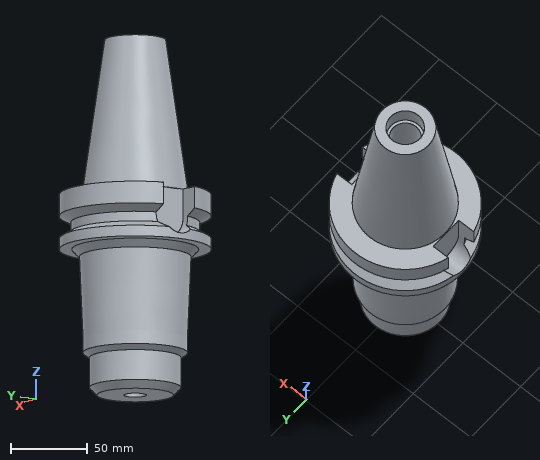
import cadquery as cq

total_height = 237.0
nose_chamfer = 5.0
nose_top = 25.0
collar_bottom = 28.2
collar_top = 37.0
neck_top = 92.2
flange_bottom = 97.2
groove_lower_edge = 104.3
groove_floor_bottom = 108.5
groove_floor_top = 115.0
groove_upper_edge = 119.2
flange_top = 133.7
gauge_line = 135.0

nose_radius = 30.0
collar_radius = 34.4
neck_top_radius = 36.7
flange_cone_radius = neck_top_radius + (flange_bottom - neck_top)
flange_radius = 50.0
groove_radius = 42.5
taper_large_radius = 34.8
taper_small_radius = 20.1

through_radius = 7.3
thread_radius = 10.5
pilot_radius = 12.5
pilot_depth = 12.8
thread_depth = 47.5

slot_width = 25.5
slot_floor_x = 35.3
slot_bottom = 101.0


def turned_body():
    """Revolve the half outline, drawn as (radius, height), about Z."""
    outline = [
        (0, 0),
        (nose_radius - nose_chamfer, 0),
        (nose_radius, nose_chamfer),
        (nose_radius, nose_top),
        (collar_radius, collar_bottom),
        (collar_radius, collar_top),
        (neck_top_radius, neck_top),
        (flange_cone_radius, flange_bottom),
        (flange_radius, flange_bottom),
        (flange_radius, groove_lower_edge),
        (groove_radius, groove_floor_bottom),
        (groove_radius, groove_floor_top),
        (flange_radius, groove_upper_edge),
        (flange_radius, flange_top),
        (taper_large_radius, flange_top),
        (taper_large_radius, gauge_line),
        (taper_small_radius, total_height),
        (0, total_height),
    ]
    return cq.Workplane("XZ").polyline(outline).close().revolve(360, (0, 0, 0), (0, 1, 0))


def bore_from_top(radius, depth):
    """Cylinder reaching down the axis from the small end of the taper."""
    return cq.Workplane("XY").workplane(offset=total_height - depth).circle(radius).extrude(depth)


def drive_slot(side):
    """Round-bottomed slot cutter; side is +1 for +X and -1 for -X."""
    half_width = slot_width / 2
    arc_center_z = slot_bottom + half_width
    profile = (
        cq.Workplane("YZ")
        .workplane(offset=side * slot_floor_x)
        .moveTo(-half_width, flange_top)
        .lineTo(-half_width, arc_center_z)
        .threePointArc((0, slot_bottom), (half_width, arc_center_z))
        .lineTo(half_width, flange_top)
        .close()
    )
    return profile.extrude(side * flange_radius)


result = turned_body()

for bore_radius, bore_depth in [
    (through_radius, total_height),
    (thread_radius, thread_depth),
    (pilot_radius, pilot_depth),
]:
    result = result.cut(bore_from_top(bore_radius, bore_depth))

for slot_side in (1, -1):
    result = result.cut(drive_slot(slot_side))